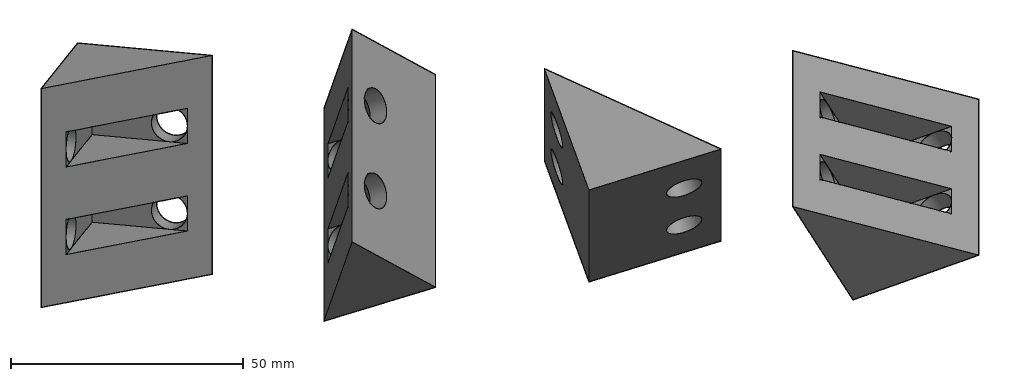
import cadquery as cq

leg = 30.0
height = 50.0
wall = 4.4
hole_diameter = 8.0
hole_spacing = 20.0

pocket_end = leg - wall
hole_offset = pocket_end - hole_diameter / 2
hole_heights = [height / 2 - hole_spacing / 2, height / 2 + hole_spacing / 2]


def triangular_prism(start, end, bottom, thickness):
    """Right-angled prism with its long face on the plane Y = X."""
    return (
        cq.Workplane("XY", origin=(0, 0, bottom))
        .polyline([(start, start), (start, end), (end, end)])
        .close()
        .extrude(thickness)
    )


def hole(center, direction):
    """Round hole crossing the whole block from the given center."""
    return cq.Workplane(
        cq.Solid.makeCylinder(hole_diameter / 2, leg, cq.Vector(*center), cq.Vector(*direction))
    )


result = triangular_prism(0, leg, 0, height)

for z in hole_heights:
    pocket = triangular_prism(wall, pocket_end, z - hole_diameter / 2, hole_diameter)
    back_hole = hole((hole_offset, 0, z), (0, 1, 0))
    side_hole = hole((0, leg - hole_offset, z), (1, 0, 0))
    result = result.cut(pocket).cut(back_hole).cut(side_hole)